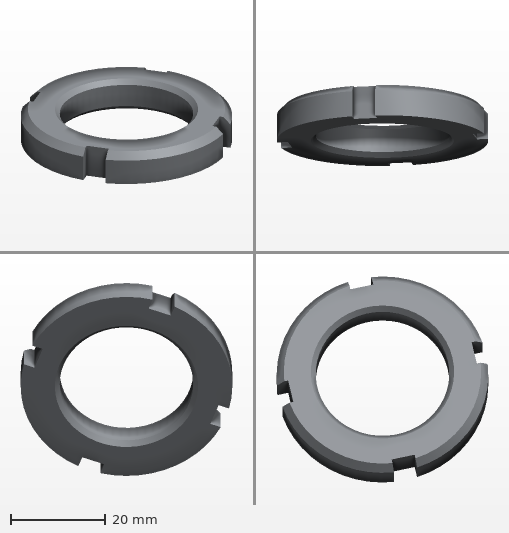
import cadquery as cq
import math

width_across = 44.7
thickness = 7.0
bore_diameter = 28.4
bore_chamfer = 1.05
rim_chamfer = 1.5
slot_width = 5.0
slot_floor_distance = 40.0
slot_count = 4

outer_radius = math.hypot(width_across / 2, slot_width / 2)
bore_radius = bore_diameter / 2


def make_ring():
    """Revolve the ring section, with its rim and bore chamfers, about Z."""
    return (
        cq.Workplane("XZ")
        .moveTo(bore_radius + bore_chamfer, 0)
        .lineTo(outer_radius, 0)
        .lineTo(outer_radius, thickness - rim_chamfer)
        .lineTo(outer_radius - rim_chamfer, thickness)
        .lineTo(bore_radius + bore_chamfer, thickness)
        .lineTo(bore_radius, thickness - bore_chamfer)
        .lineTo(bore_radius, bore_chamfer)
        .close()
        .revolve(360, (0, 0, 0), (0, 1, 0))
    )


def make_slot_cutter(angle):
    """Full-height block that opens one spanner slot at the given angle."""
    slot_floor_radius = slot_floor_distance / 2
    cutter_length = outer_radius
    return (
        cq.Workplane("XY")
        .box(cutter_length, slot_width, thickness, centered=(False, True, False))
        .translate((slot_floor_radius, 0, 0))
        .rotate((0, 0, 0), (0, 0, 1), angle)
    )


result = make_ring()
for index in range(slot_count):
    result = result.cut(make_slot_cutter(index * 360 / slot_count))